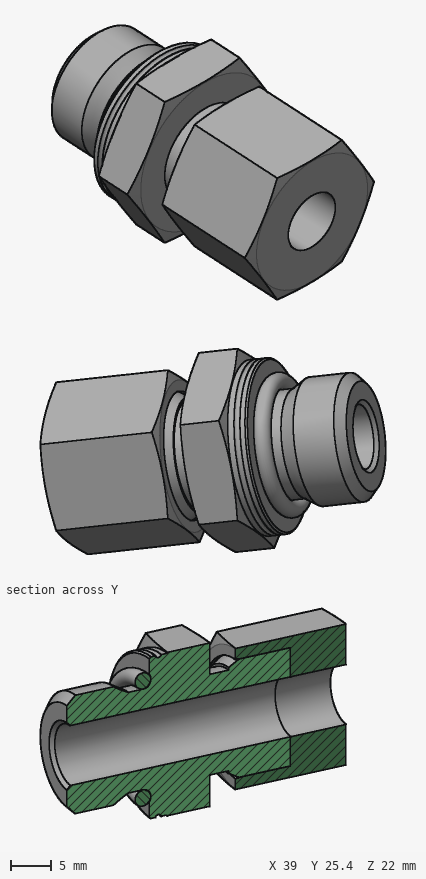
import cadquery as cq
import math


THREAD_END = 6.5
O_RING_X = 10.6
FLANGE_X = 11.5
GROOVE_X = 12.8
HEX_X = 14.0
HEX_LENGTH = 6.0
SPIGOT_X = 22.6
NUT_X = 23.5
TOTAL_LENGTH = 39.0

THREAD_RADIUS = 16.0 / 2
NECK_RADIUS = 13.6 / 2
SPIGOT_LEAD_RADIUS = 14.27 / 2
FLANGE_RADIUS = 21.8 / 2
BORE_RADIUS = 8.0 / 2
HOUSING_ACROSS_FLATS = 22.0
NUT_ACROSS_FLATS = 19.0

HEX_SIDES = 6
STUD_CHAMFER = THREAD_RADIUS - NECK_RADIUS
BORE_CHAMFER = 0.5
FLANGE_CHAMFER = 0.25
GROOVE_WIDTH = 0.78
GROOVE_DEPTH = 0.3
O_RING_SECTION_RADIUS = 2.2 / 2
THREAD_RUNOUT_ANGLE = 30.0
HEX_CHAMFER_ANGLE = 15.0
HEX_FACE_INSET = 0.08

O_RING_RADIUS = NECK_RADIUS + O_RING_SECTION_RADIUS
NUT_LENGTH = TOTAL_LENGTH - NUT_X
SPIGOT_END = NUT_X + NUT_LENGTH / 2


def runout_length(radial_step):
    """Axial length of a thread run-out cone that spans a radial step."""
    return radial_step / math.tan(math.radians(THREAD_RUNOUT_ANGLE))


def chamfered_hexagon(start_x, length, across_flats):
    """Hexagonal prism along X, corners on the Y axis, both ends turned to shallow cones."""
    corner_radius = across_flats / 2 / math.cos(math.pi / HEX_SIDES)
    face_radius = across_flats / 2 - HEX_FACE_INSET
    chamfer_length = (corner_radius - face_radius) * math.tan(math.radians(HEX_CHAMFER_ANGLE))
    prism = (
        cq.Workplane("YZ", origin=(start_x, 0, 0))
        .polygon(HEX_SIDES, 2 * corner_radius)
        .extrude(length)
    )
    end_x = start_x + length
    turned_envelope = (
        cq.Workplane("XY")
        .moveTo(start_x, 0)
        .lineTo(start_x, face_radius)
        .lineTo(start_x + chamfer_length, corner_radius)
        .lineTo(end_x - chamfer_length, corner_radius)
        .lineTo(end_x, face_radius)
        .lineTo(end_x, 0)
        .close()
        .revolve(360, (0, 0, 0), (1, 0, 0))
    )
    return prism.intersect(turned_envelope)


def make_turned_core():
    """Stud, neck, flange and nut spigot in one turned profile, bored through."""
    neck_x = THREAD_END + runout_length(THREAD_RADIUS - NECK_RADIUS)
    spigot_full_x = SPIGOT_X + runout_length(THREAD_RADIUS - SPIGOT_LEAD_RADIUS)

    seat_middle = (O_RING_X + O_RING_SECTION_RADIUS, O_RING_RADIUS)
    seat_rise = math.sqrt(O_RING_SECTION_RADIUS**2 - (FLANGE_X - O_RING_X) ** 2)
    seat_end = (FLANGE_X, O_RING_RADIUS + seat_rise)

    return (
        cq.Workplane("XY")
        .moveTo(0, BORE_RADIUS + BORE_CHAMFER)
        .lineTo(0, THREAD_RADIUS - STUD_CHAMFER)
        .lineTo(STUD_CHAMFER, THREAD_RADIUS)
        .lineTo(THREAD_END, THREAD_RADIUS)
        .lineTo(neck_x, NECK_RADIUS)
        .lineTo(O_RING_X, NECK_RADIUS)
        .threePointArc(seat_middle, seat_end)
        .lineTo(FLANGE_X, FLANGE_RADIUS - FLANGE_CHAMFER)
        .lineTo(FLANGE_X + FLANGE_CHAMFER, FLANGE_RADIUS)
        .lineTo(GROOVE_X - GROOVE_WIDTH / 2, FLANGE_RADIUS)
        .threePointArc(
            (GROOVE_X, FLANGE_RADIUS - GROOVE_DEPTH),
            (GROOVE_X + GROOVE_WIDTH / 2, FLANGE_RADIUS),
        )
        .lineTo(HEX_X, FLANGE_RADIUS)
        .lineTo(HEX_X, NECK_RADIUS)
        .lineTo(SPIGOT_X, NECK_RADIUS)
        .lineTo(SPIGOT_X, SPIGOT_LEAD_RADIUS)
        .lineTo(spigot_full_x, THREAD_RADIUS)
        .lineTo(SPIGOT_END, THREAD_RADIUS)
        .lineTo(SPIGOT_END, BORE_RADIUS)
        .lineTo(BORE_CHAMFER, BORE_RADIUS)
        .close()
        .revolve(360, (0, 0, 0), (1, 0, 0))
    )


def make_housing():
    """Turned core with the spanner hexagon behind the flange."""
    hexagon = chamfered_hexagon(HEX_X, HEX_LENGTH, HOUSING_ACROSS_FLATS)
    hexagon_bore = cq.Workplane("YZ", origin=(HEX_X, 0, 0)).circle(BORE_RADIUS).extrude(HEX_LENGTH)
    return make_turned_core().union(hexagon.cut(hexagon_bore))


def make_o_ring():
    """Round-section ring on the neck, seated against the flange."""
    return (
        cq.Workplane("XY")
        .center(O_RING_X, O_RING_RADIUS)
        .circle(O_RING_SECTION_RADIUS)
        .revolve(360, (0, -O_RING_RADIUS, 0), (1, -O_RING_RADIUS, 0))
    )


def make_nut():
    """Hexagonal union nut with a socket for the spigot and a through bore."""
    socket = cq.Workplane("YZ", origin=(NUT_X, 0, 0)).circle(THREAD_RADIUS).extrude(SPIGOT_END - NUT_X)
    bore = cq.Workplane("YZ", origin=(NUT_X, 0, 0)).circle(BORE_RADIUS).extrude(NUT_LENGTH)
    return chamfered_hexagon(NUT_X, NUT_LENGTH, NUT_ACROSS_FLATS).cut(socket).cut(bore)


housing = make_housing()
o_ring = make_o_ring()
nut = make_nut()

result = cq.Compound.makeCompound([housing.solids().val(), o_ring.val(), nut.solids().val()])